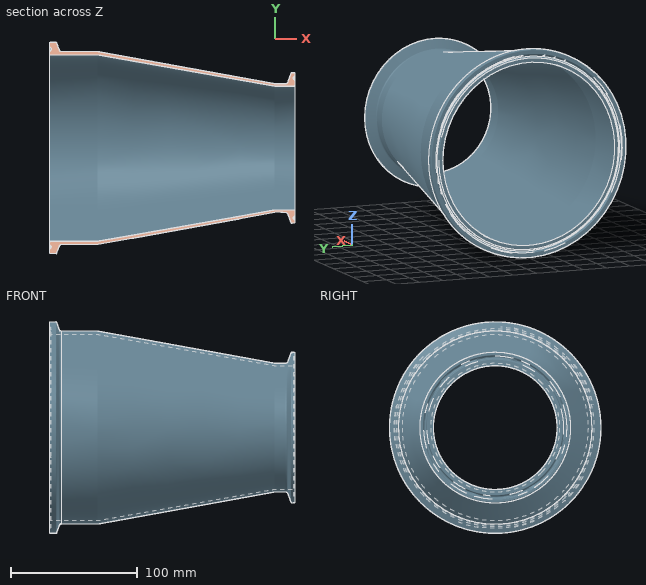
import cadquery as cq
import math

LENGTH = 193.7

LARGE_FLANGE_D = 167.0
LARGE_TUBE_D = 152.5
LARGE_BORE_D = 146.8
LARGE_END_LENGTH = 38.2
LARGE_RIM_WIDTH = 5.6
LARGE_GROOVE_D = 156.1

SMALL_FLANGE_D = 119.0
SMALL_TUBE_D = 101.7
SMALL_BORE_D = 97.5
SMALL_END_LENGTH = 15.9
SMALL_RIM_WIDTH = 3.1
SMALL_GROOVE_D = 110.4

CLAMP_ANGLE = 20.0
NECK_FILLET = 1.5
RIM_FILLET = 0.8
GROOVE_RADIUS = 1.4
GROOVE_LIP_FILLET = 0.5


def flange_back(flange_d, tube_d, rim_width):
    """Distance from the end face to where the clamp cone meets the tube."""
    height = (flange_d - tube_d) / 2
    return rim_width + height * math.tan(math.radians(CLAMP_ANGLE))


def tapered_wall():
    """Revolve the wall section: both flanges, both tubes and the taper between them."""
    large_back = flange_back(LARGE_FLANGE_D, LARGE_TUBE_D, LARGE_RIM_WIDTH)
    small_back = flange_back(SMALL_FLANGE_D, SMALL_TUBE_D, SMALL_RIM_WIDTH)
    taper_start = LARGE_END_LENGTH
    taper_end = LENGTH - SMALL_END_LENGTH
    section = [
        (0, LARGE_BORE_D / 2),
        (0, LARGE_FLANGE_D / 2),
        (LARGE_RIM_WIDTH, LARGE_FLANGE_D / 2),
        (large_back, LARGE_TUBE_D / 2),
        (taper_start, LARGE_TUBE_D / 2),
        (taper_end, SMALL_TUBE_D / 2),
        (LENGTH - small_back, SMALL_TUBE_D / 2),
        (LENGTH - SMALL_RIM_WIDTH, SMALL_FLANGE_D / 2),
        (LENGTH, SMALL_FLANGE_D / 2),
        (LENGTH, SMALL_BORE_D / 2),
        (taper_end, SMALL_BORE_D / 2),
        (taper_start, LARGE_BORE_D / 2),
    ]
    return cq.Workplane("XY").polyline(section).close().revolve(360, (0, 0, 0), (1, 0, 0))


def round_circles(body, fillet_radius, circles):
    """Round the circular edges listed as (x, diameter) pairs."""
    tolerance = 0.02
    edges = [
        edge
        for edge in body.edges("%CIRCLE").vals()
        for x, diameter in circles
        if abs(edge.startPoint().x - x) < tolerance
        and abs(edge.radius() - diameter / 2) < tolerance
    ]
    return body.newObject(edges).fillet(fillet_radius)


def cut_gasket_groove(body, face_x, groove_d):
    """Sink a half-round gasket groove with rounded lips into an end face."""
    ring = (
        cq.Workplane("XY")
        .center(face_x, groove_d / 2)
        .circle(GROOVE_RADIUS)
        .revolve(360, (0, -groove_d / 2, 0), (1, -groove_d / 2, 0))
    )
    lips = [(face_x, groove_d - 2 * GROOVE_RADIUS), (face_x, groove_d + 2 * GROOVE_RADIUS)]
    return round_circles(body.cut(ring), GROOVE_LIP_FILLET, lips)


necks = [
    (flange_back(LARGE_FLANGE_D, LARGE_TUBE_D, LARGE_RIM_WIDTH), LARGE_TUBE_D),
    (LENGTH - flange_back(SMALL_FLANGE_D, SMALL_TUBE_D, SMALL_RIM_WIDTH), SMALL_TUBE_D),
]
rims = [
    (0, LARGE_FLANGE_D),
    (LARGE_RIM_WIDTH, LARGE_FLANGE_D),
    (LENGTH - SMALL_RIM_WIDTH, SMALL_FLANGE_D),
    (LENGTH, SMALL_FLANGE_D),
]

result = tapered_wall()
result = round_circles(result, NECK_FILLET, necks)
result = round_circles(result, RIM_FILLET, rims)
result = cut_gasket_groove(result, 0, LARGE_GROOVE_D)
result = cut_gasket_groove(result, LENGTH, SMALL_GROOVE_D)